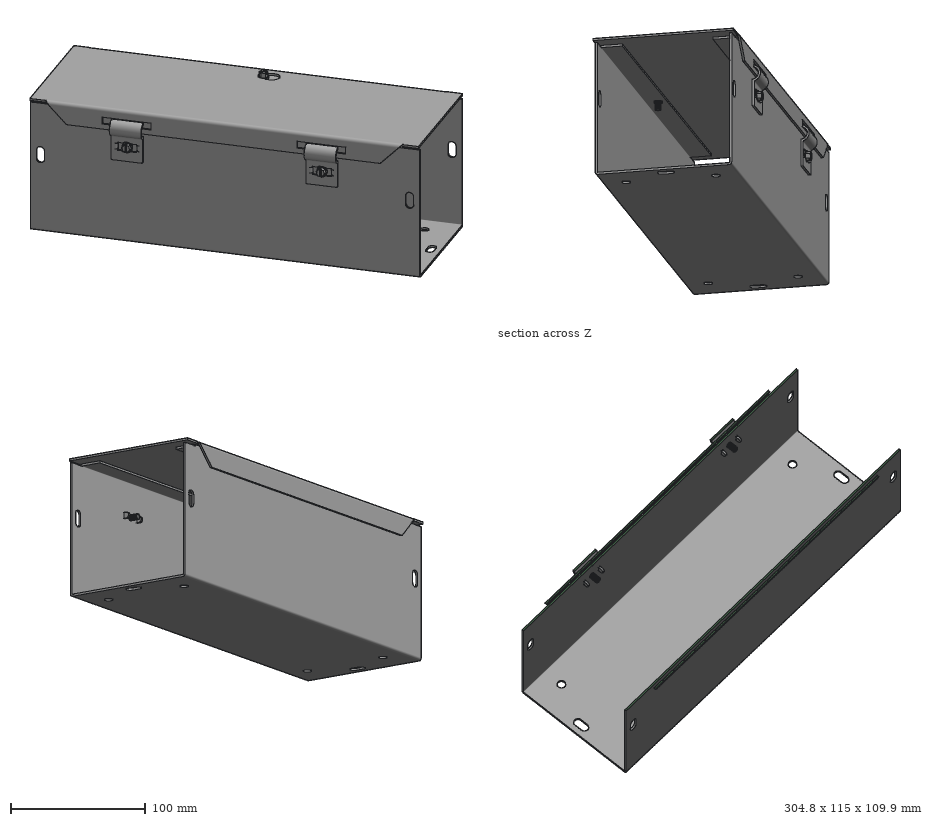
import cadquery as cq
import math

length = 304.8
box_width = 105.0
box_height = 105.0
sheet = 1.68
box_bend_radius = 2.0
flange_depth = 17.7
flange_length = 278.5

lid_length = 304.2
lid_front_overhang = 2.9
lid_back_overhang = 3.5
lid_bend_radius = 2.7
lid_lip_drop = 16.8
lip_corner_inset = 12.5

slot_width = 6.5
slot_length = 12.8
slot_inset = 8.0
wall_slot_z = 61.5
mount_hole_diameter = 6.5
mount_hole_inset = 24.0
mount_hole_edge = 18.0

clip_spacing = 152.5
clip_width = 24.7
clip_bottom_z = 65.5
clip_corner_radius = 1.0
hook_radius = 6.5
hook_center_z = 91.0
hook_blend_radius = 1.5
hook_slot_length = 38.0
hook_slot_bottom_z = 94.0
hook_slot_top_z = 99.5

tab_height = 4.5
tab_face_offset = 7.3
tab_bend_radius = 2.0
tab_reach = 5.8
window_height = 6.5

head_width = 6.7
head_turn = 15.0
head_height = 3.7
drive_slot_width = 1.07
drive_slot_depth = 1.5
washer_diameter = 8.0
washer_thickness = 1.2
thread_diameter = 4.5
thread_root_diameter = 4.0
thread_length = 8.2
thread_ridges = 12

screw_clearance_diameter = 8.5
keyhole_diameter = 12.5
keyhole_offset = 6.5
clip_screw_z = 76.8
lid_screw_inset = 11.0
collar_diameter = 6.5
collar_depth = 1.0

center_x = length / 2
center_y = box_width / 2
center_z = box_height / 2
flange_bottom_z = box_height - sheet
lid_top_z = box_height + sheet
lid_front_y = -lid_front_overhang
lid_back_y = box_width + lid_back_overhang
lip_bottom_z = lid_top_z - lid_lip_drop
lid_screw_y = box_width - lid_screw_inset
clip_x_positions = [center_x - clip_spacing / 2, center_x + clip_spacing / 2]
tab_z_range = (clip_screw_z - tab_height / 2, clip_screw_z + tab_height / 2)

ALONG_X = (1, 0, 0)
ALONG_Y = (0, 1, 0)
ALONG_Z = (0, 0, 1)


def block(x_range, y_range, z_range):
    """Box given by two limits along each axis, in either order."""
    sizes = [abs(b - a) for a, b in (x_range, y_range, z_range)]
    corner = cq.Vector(min(x_range), min(y_range), min(z_range))
    return cq.Workplane("XY").box(*sizes, centered=False).translate(corner)


def rod(diameter, length_along, start, direction):
    """Cylinder from the centre of its first end, along a direction."""
    return cq.Workplane(cq.Solid.makeCylinder(
        diameter / 2, length_along, cq.Vector(*start), cq.Vector(*direction)
    ))


def make_screw():
    """Screw pointing down, with its washer seated at the origin and its drive slot along X."""
    head_top_z = washer_thickness + head_height
    head = cq.Workplane("XY").polygon(6, head_width).extrude(head_top_z)
    head = head.rotate((0, 0, 0), (0, 0, 1), head_turn)
    drive_slot = cq.Workplane("XY").box(2 * head_width, drive_slot_width, 2 * drive_slot_depth)
    washer = cq.Workplane("XY").circle(washer_diameter / 2).extrude(washer_thickness)
    return head.cut(drive_slot.translate((0, 0, head_top_z))).union(washer).union(make_thread())


def make_thread():
    """Thread as a stack of pointed ridges, running down from the origin."""
    pitch = thread_length / thread_ridges
    root = thread_root_diameter / 2
    profile = cq.Workplane("XZ").lineTo(root, 0)
    for ridge in range(thread_ridges):
        profile = profile.lineTo(thread_diameter / 2, -(ridge + 0.5) * pitch)
        profile = profile.lineTo(root, -(ridge + 1) * pitch)
    return profile.lineTo(0, -thread_length).close().revolve(360, (0, 0), (0, 1))


def make_clip_screw(x):
    """Screw pointing along +Y into the front wall."""
    screw = make_screw().rotate((0, 0, 0), (0, 0, 1), 90).rotate((0, 0, 0), (1, 0, 0), 90)
    return screw.translate((x, 0, clip_screw_z))


def make_box():
    outer = block((0, length), (0, box_width), (0, box_height)).edges("|X").fillet(box_bend_radius)
    inner = block((0, length), (sheet, box_width - sheet), (sheet, flange_bottom_z))
    body = outer.cut(inner.edges("|X").fillet(box_bend_radius - sheet))

    body = body.cut(block((0, length), (flange_depth, box_width - flange_depth), (center_z, box_height)))

    flange_start = (length - flange_length) / 2
    bend_bottom_z = box_height - box_bend_radius
    for x_range in [(0, flange_start), (length - flange_start, length)]:
        body = body.cut(block(x_range, (0, box_width), (flange_bottom_z, box_height)))
        body = body.cut(block(x_range, (sheet, box_width - sheet), (bend_bottom_z, box_height)))

    body = cut_mounting_openings(body)
    body = add_lid_screw_collar(body)
    for x in clip_x_positions:
        body = cut_clip_openings(body, x)
    return body


def cut_mounting_openings(body):
    """Slots through both walls and the floor at each end, and four round floor holes."""
    for x in [slot_inset, length - slot_inset]:
        wall_slot = cq.Workplane("XZ").slot2D(slot_length, slot_width, 90).extrude(-box_width)
        floor_slot = cq.Workplane("XY").slot2D(slot_length, slot_width, 90).extrude(sheet)
        body = body.cut(wall_slot.translate((x, 0, wall_slot_z)))
        body = body.cut(floor_slot.translate((x, center_y, 0)))
    for x in [mount_hole_inset, length - mount_hole_inset]:
        for y in [mount_hole_edge, box_width - mount_hole_edge]:
            body = body.cut(rod(mount_hole_diameter, sheet, (x, y, 0), ALONG_Z))
    return body


def add_lid_screw_collar(body):
    """Collar under the back flange, with the hole for the lid screw."""
    collar_bottom = (center_x, lid_screw_y, flange_bottom_z - collar_depth)
    collar_height = sheet + collar_depth
    body = body.union(rod(collar_diameter, collar_height, collar_bottom, ALONG_Z))
    return body.cut(rod(thread_diameter, collar_height, collar_bottom, ALONG_Z))


def cut_clip_openings(body, x):
    """Screw hole and two tab slots in the front wall."""
    body = body.cut(rod(thread_diameter, sheet, (x, 0, clip_screw_z), ALONG_Y))
    for side in [-1, 1]:
        face_x = x + side * tab_face_offset
        body = body.cut(block((face_x, face_x + side * sheet), (0, sheet), tab_z_range))
    return body


def make_lid():
    outer = block((0, lid_length), (lid_front_y, lid_back_y), (lip_bottom_z, lid_top_z))
    inner_y_range = (lid_front_y + sheet, lid_back_y - sheet)
    inner = block((0, lid_length), inner_y_range, (lip_bottom_z, box_height))
    lid = outer.edges("|X and >Z").fillet(lid_bend_radius)
    lid = lid.cut(inner.edges("|X and >Z").fillet(lid_bend_radius - sheet))

    for end_x, inward in [(0, 1), (lid_length, -1)]:
        corner_x = end_x + inward * lip_corner_inset
        taper = (
            cq.Workplane("XZ", origin=(0, lid_front_y, 0))
            .moveTo(end_x, lid_top_z)
            .lineTo(corner_x, lid_top_z)
            .lineTo(corner_x + inward * lid_lip_drop, lip_bottom_z)
            .lineTo(end_x, lip_bottom_z)
            .close()
            .extrude(lid_front_y - lid_back_y)
        )
        plate_interior = block((0, lid_length), inner_y_range, (lip_bottom_z, lid_top_z))
        lid = lid.cut(taper.cut(plate_interior))
        lid = lid.cut(block((end_x, corner_x), inner_y_range, (lip_bottom_z, box_height)))
        lid = lid.union(block((end_x, corner_x), inner_y_range, (box_height, lid_top_z)))

    for x in clip_x_positions:
        hook_slot_x_range = (x - hook_slot_length / 2, x + hook_slot_length / 2)
        hook_slot_z_range = (hook_slot_bottom_z, hook_slot_top_z)
        lid = lid.cut(block(hook_slot_x_range, (lid_front_y, lid_front_y + sheet), hook_slot_z_range))

    for diameter, offset in [(screw_clearance_diameter, 0), (keyhole_diameter, keyhole_offset)]:
        lid = lid.cut(rod(diameter, sheet, (center_x + offset, lid_screw_y, box_height), ALONG_Z))
    return lid


def make_clip(x):
    x_min = x - clip_width / 2
    x_range = (x_min, x_min + clip_width)
    plate = block(x_range, (-sheet, 0), (clip_bottom_z, hook_center_z))
    plate = plate.edges("|Y and <Z").fillet(clip_corner_radius)

    tube_start = (x_min, 0, hook_center_z)
    cylinder = rod(2 * hook_radius, clip_width, tube_start, ALONG_X)
    hollow = rod(2 * (hook_radius - sheet), clip_width, tube_start, ALONG_X)
    back_half = block(x_range, (0, hook_radius), (hook_center_z - hook_radius, hook_center_z + hook_radius))
    clip = plate.union(cylinder.cut(back_half)).cut(hollow)
    joint_z = hook_center_z - math.sqrt(hook_radius ** 2 - sheet ** 2)
    joint = cq.NearestToPointSelector((x, -sheet, joint_z))
    clip = clip.edges(joint).fillet(hook_blend_radius)

    window_x_range = (x - tab_face_offset, x + tab_face_offset)
    window_z_range = (clip_screw_z - window_height / 2, clip_screw_z + window_height / 2)
    clip = clip.cut(block(window_x_range, (-sheet, 0), window_z_range))
    clip = clip.cut(rod(screw_clearance_diameter, sheet, (x, -sheet, clip_screw_z), ALONG_Y))
    for side in [-1, 1]:
        clip = add_tab(clip, x, side)
    return clip


def add_tab(clip, x, side):
    """Bend a round-ended tab inward from one end of the window."""
    face_x = x + side * tab_face_offset
    outer_x = face_x + side * sheet
    bend_x = face_x + side * tab_bend_radius
    bend_start = (bend_x, tab_bend_radius - sheet, tab_z_range[0])
    bend = rod(2 * tab_bend_radius, tab_height, bend_start, ALONG_Z)
    clip = clip.cut(block((face_x, bend_x), (-sheet, 0), tab_z_range).cut(bend))

    tip_center_y = tab_reach - tab_height / 2
    tip_start = (face_x, tip_center_y, clip_screw_z)
    tip = rod(tab_height, sheet, tip_start, (side, 0, 0))
    return clip.union(block((face_x, outer_x), (0, tip_center_y), tab_z_range)).union(tip)


box = make_box()
lid = make_lid()
clips = [make_clip(x) for x in clip_x_positions]
clip_screws = [make_clip_screw(x) for x in clip_x_positions]
lid_screw = make_screw().translate((center_x, lid_screw_y, box_height))

result = cq.Compound.makeCompound([
    box.val(),
    lid.val(),
    *[clip.val() for clip in clips],
    *[screw.val() for screw in clip_screws],
    lid_screw.val(),
])